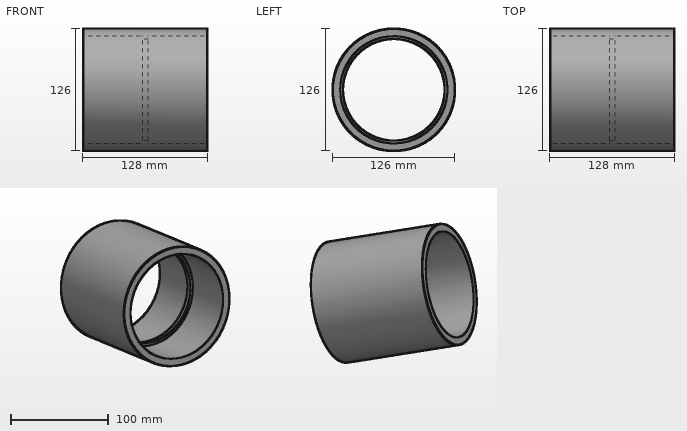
import cadquery as cq

length = 128.0
outer_diameter = 126.0
socket_diameter = 110.0
stop_diameter = 104.0
stop_width = 6.0
edge_chamfer = 0.5

socket_depth = (length - stop_width) / 2


def cylinder_along_x(diameter, start, span):
    """Solid cylinder on the X axis, from x = start to x = start + span."""
    return cq.Workplane("YZ", origin=(start, 0, 0)).circle(diameter / 2).extrude(span)


sleeve = cylinder_along_x(outer_diameter, -length / 2, length)
sleeve = sleeve.faces("<X or >X").edges().chamfer(edge_chamfer)

coupling = sleeve.cut(cylinder_along_x(stop_diameter, -length / 2, length))

for socket_start in (-length / 2, stop_width / 2):
    coupling = coupling.cut(cylinder_along_x(socket_diameter, socket_start, socket_depth))

result = coupling